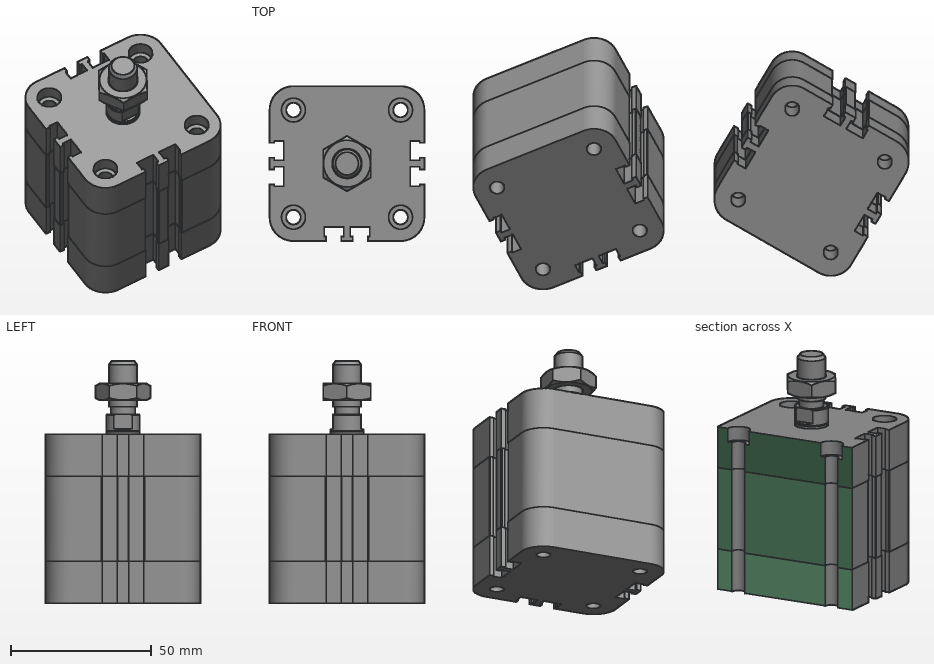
import cadquery as cq
import math

body_side = 55.0
corner_radius = 8.5
cap_height = 15.0
barrel_height = 30.0
barrel_bottom = cap_height
front_cap_bottom = barrel_bottom + barrel_height
housing_top = front_cap_bottom + cap_height

hole_pitch = 38.0
bolt_hole_diameter = 5.1
counterbore_diameter = 8.5
counterbore_depth = 5.0

mouth_inner = 2.1
mouth_outer = 7.4
undercut_inner = 1.2
undercut_outer = 8.0
cap_slot_depth = 5.1
cap_lip_thickness = 1.7
cap_mouth_chamfer = 0.0
barrel_slot_depth = 5.0
barrel_lip_thickness = 1.4
barrel_mouth_chamfer = 0.3
slotted_face_angles = (-90, 0, 90)

rod_length = 26.0
rod_diameter = 12.0
rod_groove_diameter = 11.8
rod_groove_bottom = 0.85
rod_groove_top = 1.15
rod_shoulder_height = 7.0
rod_shoulder_chamfer = 0.3
flats_width = 10.0
flats_bottom = 2.0
flats_ledge_drop = 0.4
neck_diameter = 8.7
neck_top = 9.7
thread_diameter = 10.0
tip_diameter = 8.1
tip_chamfer_height = 1.3

nut_across_flats = 17.0
nut_height = 6.0
nut_bottom = housing_top + 12.0
nut_chamfer_angle = 30.0
nut_face_diameter = 16.6
nut_countersink = 0.3


def square_block(bottom, height):
    """Square block with rounded vertical corners."""
    return (
        cq.Workplane("XY", origin=(0, 0, bottom))
        .rect(body_side, body_side)
        .extrude(height)
        .edges("|Z")
        .fillet(corner_radius)
    )


def slot_pair(bottom, height, depth, lip_thickness, mouth_chamfer):
    """Cutter for the two T-slots of the -Y face."""
    face_y = -body_side / 2
    lip_y = face_y + lip_thickness
    floor_y = face_y + depth
    chamfer_y = face_y + mouth_chamfer
    profile = [
        (mouth_inner - mouth_chamfer, face_y),
        (mouth_inner, chamfer_y),
        (mouth_inner, lip_y),
        (undercut_inner, lip_y),
        (undercut_inner, floor_y),
        (undercut_outer, floor_y),
        (undercut_outer, lip_y),
        (mouth_outer, lip_y),
        (mouth_outer, chamfer_y),
        (mouth_outer + mouth_chamfer, face_y),
    ]
    if mouth_chamfer == 0:
        profile = profile[1:-1]
    slot = cq.Workplane("XY", origin=(0, 0, bottom)).polyline(profile).close().extrude(height)
    return slot.union(slot.mirror("YZ"))


def housing_section(bottom, height, slot_depth, lip_thickness, mouth_chamfer):
    """Housing block with its sensor slots and corner bolt holes."""
    section = square_block(bottom, height)
    slots = slot_pair(bottom, height, slot_depth, lip_thickness, mouth_chamfer)
    for angle in slotted_face_angles:
        section = section.cut(slots.rotate((0, 0, 0), (0, 0, 1), angle))
    bolt_holes = (
        cq.Workplane("XY", origin=(0, 0, bottom))
        .rect(hole_pitch, hole_pitch, forConstruction=True)
        .vertices()
        .circle(bolt_hole_diameter / 2)
        .extrude(height)
    )
    return section.cut(bolt_holes)


def cap_block(bottom):
    return housing_section(bottom, cap_height, cap_slot_depth, cap_lip_thickness, cap_mouth_chamfer)


def make_rear_cap():
    return cap_block(0)


def make_barrel():
    return housing_section(
        barrel_bottom, barrel_height, barrel_slot_depth, barrel_lip_thickness, barrel_mouth_chamfer
    )


def make_front_cap():
    counterbores = (
        cq.Workplane("XY", origin=(0, 0, housing_top))
        .rect(hole_pitch, hole_pitch, forConstruction=True)
        .vertices()
        .circle(counterbore_diameter / 2)
        .extrude(-counterbore_depth)
    )
    rod_bore = (
        cq.Workplane("XY", origin=(0, 0, front_cap_bottom))
        .circle(rod_diameter / 2)
        .extrude(cap_height)
    )
    return cap_block(front_cap_bottom).cut(counterbores).cut(rod_bore)


def wrench_flat_cutters():
    """Cutter for the two flats; the ledge below each flat slopes down to the rod surface."""
    flat_x = flats_width / 2
    rod_radius = rod_diameter / 2
    cutter = (
        cq.Workplane("XZ")
        .moveTo(flat_x, flats_bottom)
        .lineTo(rod_radius, flats_bottom - flats_ledge_drop)
        .lineTo(rod_radius, rod_shoulder_height)
        .lineTo(flat_x, rod_shoulder_height)
        .close()
        .extrude(rod_radius, both=True)
    )
    return cutter.union(cutter.mirror("YZ"))


def make_rod():
    rod_radius = rod_diameter / 2
    groove_radius = rod_groove_diameter / 2
    neck_radius = neck_diameter / 2
    thread_radius = thread_diameter / 2
    rod = (
        cq.Workplane("XZ")
        .moveTo(0, -cap_height)
        .lineTo(rod_radius, -cap_height)
        .lineTo(rod_radius, rod_groove_bottom)
        .lineTo(groove_radius, rod_groove_bottom)
        .lineTo(groove_radius, rod_groove_top)
        .lineTo(rod_radius, rod_groove_top)
        .lineTo(rod_radius, rod_shoulder_height - rod_shoulder_chamfer)
        .lineTo(rod_radius - rod_shoulder_chamfer, rod_shoulder_height)
        .lineTo(neck_radius, rod_shoulder_height)
        .lineTo(neck_radius, neck_top)
        .lineTo(thread_radius, neck_top)
        .lineTo(thread_radius, rod_length - tip_chamfer_height)
        .lineTo(tip_diameter / 2, rod_length)
        .lineTo(0, rod_length)
        .close()
        .revolve(360, (0, 0, 0), (0, 1, 0))
    )
    return rod.cut(wrench_flat_cutters()).translate((0, 0, housing_top))


def make_nut():
    hexagon_radius = nut_across_flats / math.sqrt(3)
    face_radius = nut_face_diameter / 2
    chamfer_height = (hexagon_radius - face_radius) * math.tan(math.radians(nut_chamfer_angle))
    bore_radius = thread_diameter / 2
    hexagon = (
        cq.Workplane("XY")
        .polygon(6, 2 * hexagon_radius)
        .extrude(nut_height)
        .rotate((0, 0, 0), (0, 0, 1), 90)
    )
    turned_profile = (
        cq.Workplane("XZ")
        .moveTo(bore_radius, nut_countersink)
        .lineTo(bore_radius + nut_countersink, 0)
        .lineTo(face_radius, 0)
        .lineTo(hexagon_radius, chamfer_height)
        .lineTo(hexagon_radius, nut_height - chamfer_height)
        .lineTo(face_radius, nut_height)
        .lineTo(bore_radius + nut_countersink, nut_height)
        .lineTo(bore_radius, nut_height - nut_countersink)
        .close()
        .revolve(360, (0, 0, 0), (0, 1, 0))
    )
    return hexagon.intersect(turned_profile).translate((0, 0, nut_bottom))


rear_cap = make_rear_cap()
barrel = make_barrel()
front_cap = make_front_cap()
rod = make_rod()
nut = make_nut()

result = cq.Compound.makeCompound([
    rear_cap.val(),
    barrel.val(),
    front_cap.val(),
    rod.val(),
    nut.val(),
])